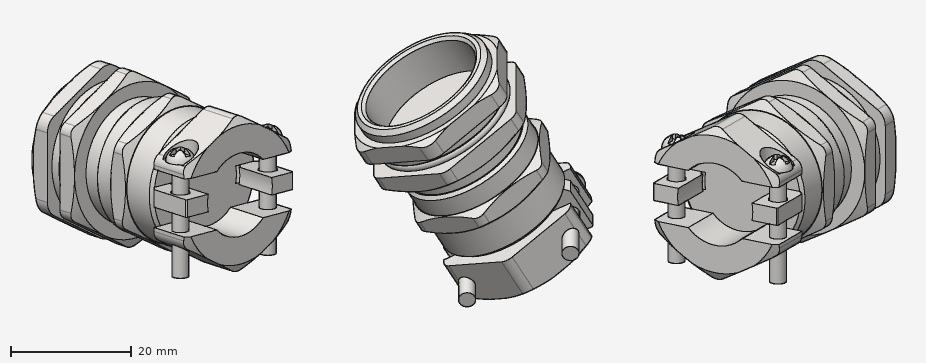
import cadquery as cq
import math

TOTAL_LENGTH = 38.7

HALF_HEX_SECTOR = 30.0

NUT_FLAT_RADIUS = 13.5
CAP_FLAT_RADIUS = 12.0
LOCKNUT_CORNER_ROUNDING = 3.0
CORNER_ROUNDING = 2.0
HEX_CHAMFER_ANGLE = 30.0

SPIGOT_RADIUS = 12.5
SPIGOT_END_CHAMFER = 0.8
SPIGOT_END = 7.6
SPIGOT_ROOT_RADIUS = 12.07
ENTRY_RADIUS = 20.8 / 2
ENTRY_MOUTH_RADIUS = 21.85 / 2
ENTRY_DEPTH = 7.6
LOCKNUT_START = 2.35
LOCKNUT_END = 5.85
LOCKNUT_FACE_RADIUS = 13.8
SEAL_START = 7.78
SEAL_OUTER_RADIUS = 24.85 / 2
SEAL_SECTION_RADIUS = 0.93

BODY_HEX_START = 8.98
BODY_HEX_END = 12.58
BODY_HEX_FACE_RADIUS = 13.5
NECK_RADIUS = 21.85 / 2
CAP_START = 15.7
CAP_END = 29.75
CAP_RADIUS = 23.5 / 2
CAP_EDGE_CHAMFER = 0.58
CAP_HEX_START = 19.78
CAP_HEX_END = 23.65
CAP_HEX_FACE_RADIUS = 11.85

JAW_START = 30.6
JAW_FACE_RADIUS = 12.1
JAW_GAP_HALF = 5.07
BAR_THICKNESS = 3.05
BAR_END_CHAMFER = 0.2
CABLE_RADIUS = 14.5 / 2

SCREW_X = 34.75
SCREW_Y = 9.8
SHANK_RADIUS = 2.85 / 2
SHANK_BOTTOM = -13.05
BAR_HOLE_RADIUS = 3.2 / 2
COUNTERBORE_RADIUS = 6.0 / 2
HEAD_SEAT_Z = 7.05
HEAD_SPHERE_RADIUS = 2.5
HEAD_SPHERE_Z = 6.77
CROSS_SLOT_WIDTH = 1.0
CROSS_SLOT_FLOOR_Z = 8.25

SIDES = (-1, 1)


def disc(radius, start, end):
    """Cylinder on the X axis between two X positions."""
    return cq.Workplane("YZ", origin=(start, 0, 0)).circle(radius).extrude(end - start)


def revolve_about_x(profile):
    """Turn a closed outline of (x, radius) points about the X axis."""
    return cq.Workplane("XY").polyline(profile).close().revolve(360, (0, 0, 0), (1, 0, 0))


def hexagon(flat_radius, rounding, start, end):
    """Hexagonal prism along X with rounded corners, two of which point to +Z and -Z."""
    corner_diameter = 2 * flat_radius / math.cos(math.radians(HALF_HEX_SECTOR))
    prism = cq.Workplane("YZ", origin=(start, 0, 0)).polygon(6, corner_diameter).extrude(end - start)
    upright = prism.rotate((0, 0, 0), (1, 0, 0), 3 * HALF_HEX_SECTOR)
    return upright.edges("|X").fillet(rounding)


def corner_cone(face_x, face_radius, direction):
    """Cone whose small end lies on a hexagon face and which widens in the given X direction."""
    length = TOTAL_LENGTH
    wide_radius = face_radius + length / math.tan(math.radians(HEX_CHAMFER_ANGLE))
    wide_x = face_x + direction * length
    return revolve_about_x([(face_x, 0), (face_x, face_radius), (wide_x, wide_radius), (wide_x, 0)])


def make_locknut():
    nut = hexagon(NUT_FLAT_RADIUS, LOCKNUT_CORNER_ROUNDING, LOCKNUT_START, LOCKNUT_END)
    return nut.intersect(corner_cone(LOCKNUT_START, LOCKNUT_FACE_RADIUS, 1))


def make_body_hexagon():
    nut = hexagon(NUT_FLAT_RADIUS, CORNER_ROUNDING, BODY_HEX_START, BODY_HEX_END)
    return nut.intersect(corner_cone(BODY_HEX_END, BODY_HEX_FACE_RADIUS, -1))


def make_cap_hexagon():
    nut = hexagon(CAP_FLAT_RADIUS, CORNER_ROUNDING, CAP_HEX_START, CAP_HEX_END)
    nut = nut.intersect(corner_cone(CAP_HEX_START, CAP_HEX_FACE_RADIUS, 1))
    return nut.intersect(corner_cone(CAP_HEX_END, CAP_HEX_FACE_RADIUS, -1))


def make_seal_ring():
    ring_radius = SEAL_OUTER_RADIUS - SEAL_SECTION_RADIUS
    centre_x = SEAL_START + SEAL_SECTION_RADIUS
    section = cq.Workplane("XY").center(centre_x, ring_radius).circle(SEAL_SECTION_RADIUS)
    return section.revolve(360, (0, -ring_radius, 0), (1, -ring_radius, 0))


def make_entry_bore():
    mouth_chamfer = ENTRY_MOUTH_RADIUS - ENTRY_RADIUS
    return revolve_about_x([
        (0, 0),
        (0, ENTRY_MOUTH_RADIUS),
        (mouth_chamfer, ENTRY_RADIUS),
        (ENTRY_DEPTH, ENTRY_RADIUS),
        (ENTRY_DEPTH, 0),
    ])


def make_gap_groove(side):
    """Half-round relief along Z in the inner edge of a bar, as wide as the gap beside the jaws."""
    gap = JAW_START - CAP_END
    groove = cq.Workplane("XY").center(CAP_END + gap / 2, side * CABLE_RADIUS).circle(gap / 2)
    return groove.extrude(BAR_THICKNESS, both=True)


def make_side_bar(side):
    """Flat bar on one side of the cap end, with a clearance hole for the clamp screw."""
    neck_radius = CAP_RADIUS - CAP_EDGE_CHAMFER
    outline = [
        (CAP_END, 0),
        (CAP_END, side * neck_radius),
        (JAW_START, side * CAP_FLAT_RADIUS),
        (TOTAL_LENGTH - BAR_END_CHAMFER, side * CAP_FLAT_RADIUS),
        (TOTAL_LENGTH, side * (CAP_FLAT_RADIUS - BAR_END_CHAMFER)),
        (TOTAL_LENGTH, 0),
    ]
    bar = cq.Workplane("XY").polyline(outline).close().extrude(BAR_THICKNESS / 2, both=True)
    hole = cq.Workplane("XY").center(SCREW_X, side * SCREW_Y).circle(BAR_HOLE_RADIUS)
    bar = bar.cut(hole.extrude(BAR_THICKNESS, both=True))
    bar = bar.cut(disc(CABLE_RADIUS, CAP_END, TOTAL_LENGTH))
    return bar.cut(make_gap_groove(side))


def make_gland():
    """Entry spigot, locknut, seal ring, body hexagon, cap and side bars in one solid."""
    gland = disc(SPIGOT_RADIUS, 0, SPIGOT_END).faces("<X").chamfer(SPIGOT_END_CHAMFER)
    gland = gland.union(disc(SPIGOT_ROOT_RADIUS, SPIGOT_END, BODY_HEX_START))
    gland = gland.union(make_locknut())
    gland = gland.union(make_seal_ring())
    gland = gland.union(make_body_hexagon())
    gland = gland.union(disc(NECK_RADIUS, BODY_HEX_END, CAP_START))
    gland = gland.union(disc(CAP_RADIUS, CAP_START, CAP_END).faces("<X or >X").chamfer(CAP_EDGE_CHAMFER))
    gland = gland.union(make_cap_hexagon())
    gland = gland.cut(make_entry_bore())
    for side in SIDES:
        gland = gland.union(make_side_bar(side))
    return gland


def make_jaws():
    """Upper and lower clamp jaws: the two ends of a hexagonal ring, with seats for the screw heads."""
    jaws = hexagon(CAP_FLAT_RADIUS, CORNER_ROUNDING, JAW_START, TOTAL_LENGTH)
    jaws = jaws.intersect(corner_cone(TOTAL_LENGTH, JAW_FACE_RADIUS, -1))
    jaws = jaws.cut(cq.Workplane("XY").box(2 * TOTAL_LENGTH, TOTAL_LENGTH, 2 * JAW_GAP_HALF))
    jaws = jaws.cut(disc(CABLE_RADIUS, JAW_START, TOTAL_LENGTH))
    for side in SIDES:
        seat = cq.Workplane("XY", origin=(SCREW_X, side * SCREW_Y, HEAD_SEAT_Z))
        jaws = jaws.cut(seat.circle(COUNTERBORE_RADIUS).extrude(TOTAL_LENGTH))
    return jaws


def make_screw(side):
    """Cross-slotted round-head screw standing along Z."""
    axis = cq.Workplane("XY", origin=(SCREW_X, side * SCREW_Y, 0))
    clearance = 4 * HEAD_SPHERE_RADIUS
    head = axis.workplane(offset=HEAD_SPHERE_Z).sphere(HEAD_SPHERE_RADIUS)
    head = head.intersect(axis.workplane(offset=HEAD_SEAT_Z).rect(clearance, clearance).extrude(clearance))
    slots = axis.workplane(offset=CROSS_SLOT_FLOOR_Z)
    head = head.cut(slots.rect(clearance, CROSS_SLOT_WIDTH).extrude(clearance))
    head = head.cut(slots.rect(CROSS_SLOT_WIDTH, clearance).extrude(clearance))
    shank = axis.workplane(offset=SHANK_BOTTOM).circle(SHANK_RADIUS).extrude(HEAD_SEAT_Z - SHANK_BOTTOM)
    return head.union(shank)


def make_clamp():
    """Both jaws held together by the two screws, in one solid."""
    clamp = make_jaws()
    for side in SIDES:
        clamp = clamp.union(make_screw(side))
    return clamp


gland = make_gland()
clamp = make_clamp()

result = cq.Compound.makeCompound([*gland.solids().vals(), *clamp.solids().vals()])